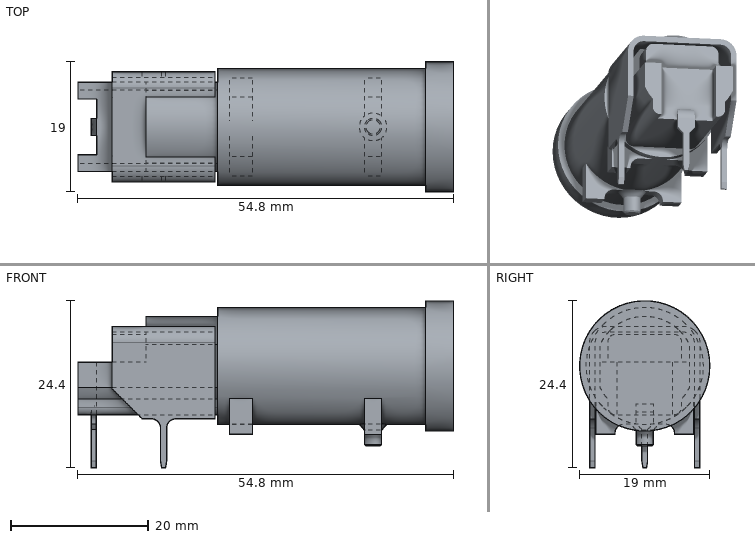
import cadquery as cq
import math

total_length = 54.8
total_height = 24.4

barrel_start = 20.4
flange_start = 50.7
barrel_radius = 17.1 / 2
flange_radius = 19.0 / 2

body_radius = 7.25
body_half_width = 6.5
body_top_start = 9.9
core_half_width = 5.35
core_top = 4.6
core_bottom = -7.1
core_corner_radius = 1.1
holder_top = 0.55
notch_depth = 2.75
notch_half_width = 4.05

clip_start = 5.0
clip_end = 20.0
clip_half_width = 8.05
clip_thickness = 0.8
clip_top = 5.75
clip_bottom = -7.7
clip_bend_radius = 2.35
clip_corner_cut = 4.4
clip_pin_x = 12.5
clip_pin_width = 0.95
clip_pin_fillet = 1.3

pin_bottom = flange_radius - total_height
pin_tip_length = 1.0
pin_tip_inset = 0.15

terminal_start = 1.9
terminal_thickness = 0.75
terminal_half_width = 1.25
terminal_top = -5.3
terminal_bend_radius = 1.75
terminal_end = 4.4
terminal_taper_top = -8.45
terminal_taper_bottom = -9.25
terminal_pin_width = 0.9

foot_spans = [(22.1, 25.5), (41.8, 44.3)]
foot_half_width = 7.1
foot_bottom = -10.0
foot_arch_half_width = 4.35
foot_arch_top = -8.5
foot_arch_radius = 1.3
peg_radius = 2.5 / 2
peg_bottom = -11.65
peg_chamfer = 0.2
peg_root_radius = 2.05
peg_root_bottom = -9.35


def block(x_range, y_range, z_range):
    """Axis-aligned box given by its limits along X, Y and Z."""
    size = [high - low for low, high in (x_range, y_range, z_range)]
    corner = (x_range[0], y_range[0], z_range[0])
    return cq.Workplane("XY").box(*size, centered=False).translate(corner)


def rod(radius, x_start, x_end):
    """Cylinder along the barrel axis."""
    return cq.Workplane("YZ", origin=(x_start, 0, 0)).circle(radius).extrude(x_end - x_start)


def symmetric(half_width):
    """Limits of a span centred on zero."""
    return (-half_width, half_width)


def make_barrel():
    barrel = rod(barrel_radius, barrel_start, flange_start)
    return barrel.union(rod(flange_radius, flange_start, total_length))


def make_body():
    """Flat-sided round body with a rounded square core, cut down to form the holder."""
    sides = block((0, barrel_start), symmetric(body_half_width), symmetric(body_radius))
    round_body = rod(body_radius, 0, barrel_start).intersect(sides)
    core = block((0, barrel_start), symmetric(core_half_width), (core_bottom, core_top))
    core = core.edges("|X").fillet(core_corner_radius)

    below_core = block((0, barrel_start), symmetric(body_radius), (-flange_radius, core_bottom))
    above_holder = (holder_top, flange_radius)
    round_body = round_body.cut(below_core)
    round_body = round_body.cut(block((0, body_top_start), symmetric(body_radius), above_holder))
    core = core.cut(block((0, clip_start), symmetric(body_radius), above_holder))

    notch = block((0, notch_depth), symmetric(notch_half_width), (core_bottom, holder_top))
    return round_body.union(core).cut(notch)


def make_clip():
    """U-shaped clip whose two side walls each end in a solder pin."""
    inner_half_width = clip_half_width - clip_thickness
    x_range = (clip_start, clip_end)
    outer = block(x_range, symmetric(clip_half_width), (pin_bottom, clip_top))
    inner = block(x_range, symmetric(inner_half_width), (pin_bottom, clip_top - clip_thickness))
    outer = outer.edges("|X and >Z").fillet(clip_bend_radius)
    inner = inner.edges("|X and >Z").fillet(clip_bend_radius - clip_thickness)

    pin_left = clip_pin_x - clip_pin_width / 2
    pin_right = clip_pin_x + clip_pin_width / 2
    fillet_bottom = clip_bottom - clip_pin_fillet
    tip_top = pin_bottom + pin_tip_length
    arc_mid = clip_pin_fillet * (1 - math.cos(math.radians(45)))
    side_outline = (
        cq.Workplane("XZ")
        .moveTo(clip_start, clip_top)
        .lineTo(clip_start, clip_bottom + clip_corner_cut)
        .lineTo(clip_start + clip_corner_cut, clip_bottom)
        .lineTo(pin_left - clip_pin_fillet, clip_bottom)
        .threePointArc((pin_left - arc_mid, clip_bottom - arc_mid), (pin_left, fillet_bottom))
        .lineTo(pin_left, tip_top)
        .lineTo(pin_left + pin_tip_inset, pin_bottom)
        .lineTo(pin_right - pin_tip_inset, pin_bottom)
        .lineTo(pin_right, tip_top)
        .lineTo(pin_right, fillet_bottom)
        .threePointArc(
            (pin_right + arc_mid, clip_bottom - arc_mid),
            (pin_right + clip_pin_fillet, clip_bottom),
        )
        .lineTo(clip_end, clip_bottom)
        .lineTo(clip_end, clip_top)
        .close()
        .extrude(clip_half_width, both=True)
    )
    return outer.cut(inner).intersect(side_outline)


def make_terminal():
    """Bent strip that narrows to a solder pin."""
    outer_range = (terminal_start, terminal_end)
    inner_range = (terminal_start + terminal_thickness, terminal_end)
    inner_top = terminal_top - terminal_thickness
    strip = block(outer_range, symmetric(terminal_half_width), (pin_bottom, terminal_top))
    strip = strip.edges("|Y and >Z and <X").fillet(terminal_bend_radius)
    under_bend = block(inner_range, symmetric(terminal_half_width), (pin_bottom, inner_top))
    under_bend = under_bend.edges("|Y and >Z and <X").fillet(terminal_bend_radius - terminal_thickness)

    pin_half = terminal_pin_width / 2
    right_side = [
        (terminal_half_width, terminal_top),
        (terminal_half_width, terminal_taper_top),
        (pin_half, terminal_taper_bottom),
        (pin_half, pin_bottom + pin_tip_length),
        (pin_half - pin_tip_inset, pin_bottom),
    ]
    left_side = [(-y, z) for y, z in reversed(right_side)]
    face_outline = cq.Workplane("YZ").polyline(right_side + left_side).close().extrude(terminal_end)
    return strip.cut(under_bend).intersect(face_outline)


def make_foot(x_range):
    """Cross plate with an arched underside, filled up to the barrel axis."""
    plate = block(x_range, symmetric(foot_half_width), (foot_bottom, 0))
    arch = block(x_range, symmetric(foot_arch_half_width), (foot_bottom, foot_arch_top))
    arch = arch.edges("|X and >Z").fillet(foot_arch_radius)
    return plate.cut(arch)


def make_peg():
    """Locating peg with a conical root and a chamfered end."""
    peg_x = sum(foot_spans[1]) / 2
    profile = [
        (0, 0),
        (peg_root_radius, 0),
        (peg_root_radius, foot_arch_top),
        (peg_radius, peg_root_bottom),
        (peg_radius, peg_bottom + peg_chamfer),
        (peg_radius - peg_chamfer, peg_bottom),
        (0, peg_bottom),
    ]
    peg = cq.Workplane("XZ").polyline(profile).close().revolve(360, (0, 0), (0, 1))
    return peg.translate((peg_x, 0, 0))


result = make_barrel().union(make_body()).union(make_clip()).union(make_terminal())
for foot_span in foot_spans:
    result = result.union(make_foot(foot_span))
result = result.union(make_peg())